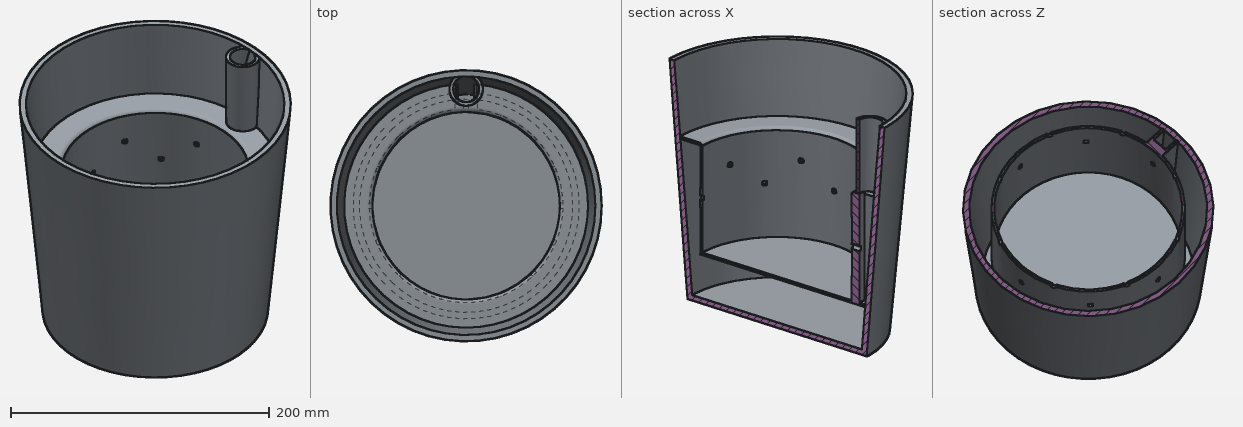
import cadquery as cq
import math

POT_HEIGHT = 200.0
POT_WALL = 5.0
POT_FLOOR = 5.0
POT_TOP_R = 105.0
POT_BOTTOM_R = 87.5
CAVITY_TOP_R = POT_TOP_R - POT_WALL
CAVITY_FLOOR_R = POT_BOTTOM_R - POT_WALL

LEDGE_TOP = 137.0
INSERT_FLOOR_TOP = 44.0
SHEET = 2.5
BASKET_INNER_R = 145.03 / 2
BASKET_OUTER_R = BASKET_INNER_R + SHEET
LEDGE_BOTTOM = LEDGE_TOP - SHEET
INSERT_BOTTOM = INSERT_FLOOR_TOP - SHEET

LIP_ARC_R = 5.0
LIP_DROP = 2.0
LIP_SWEEP = math.acos(1 - LIP_DROP / LIP_ARC_R)
LIP_OUTER_R = BASKET_INNER_R + LIP_ARC_R * math.sin(LIP_SWEEP)

HOLE_DIAMETER = 4.0
HOLES_PER_ROW = 8
HOLE_PITCH_ANGLE = 360.0 / HOLES_PER_ROW
LOWER_HOLE_ROW_Z = 90.0
UPPER_HOLE_ROW_Z = 110.0

TUBE_OUTER_R = 13.0
TUBE_WALL = 3.0
TUBE_INNER_R = TUBE_OUTER_R - TUBE_WALL
TUBE_Y = 90.3

CHUTE_WIDTH = 12.4
CHUTE_MOUTH_WIDTH = 15.7
CHUTE_FRONT_Y = TUBE_Y - TUBE_INNER_R


def cavity_radius(z):
    """Inner radius of the pot at height z."""
    rise = (z - POT_FLOOR) / (POT_HEIGHT - POT_FLOOR)
    return CAVITY_FLOOR_R + rise * (CAVITY_TOP_R - CAVITY_FLOOR_R)


def cone(bottom_z, bottom_r, top_z, top_r):
    """Solid frustum about the Z axis."""
    profile = [(0, bottom_z), (bottom_r, bottom_z), (top_r, top_z), (0, top_z)]
    return cq.Workplane("XZ").polyline(profile).close().revolve(360, (0, 0), (0, 1))


def cavity_between(bottom_z, top_z):
    """The part of the pot's inner space between two heights."""
    return cone(bottom_z, cavity_radius(bottom_z), top_z, cavity_radius(top_z))


def make_pot():
    outside = cone(0, POT_BOTTOM_R, POT_HEIGHT, POT_TOP_R)
    return outside.cut(cavity_between(POT_FLOOR, POT_HEIGHT))


def chute_space():
    """Chute channel from its front wall outward past the pot wall, flared where it meets the ledge top."""
    half = CHUTE_WIDTH / 2
    mouth_half = CHUTE_MOUTH_WIDTH / 2
    section = [
        (-half, INSERT_FLOOR_TOP),
        (half, INSERT_FLOOR_TOP),
        (half, LEDGE_BOTTOM),
        (mouth_half, LEDGE_TOP),
        (-mouth_half, LEDGE_TOP),
        (-half, LEDGE_BOTTOM),
    ]
    length = POT_TOP_R - CHUTE_FRONT_Y
    return (
        cq.Workplane("XZ", origin=(0, CHUTE_FRONT_Y, 0))
        .polyline(section)
        .close()
        .extrude(-length)
    )


def chute_shell():
    """Block that the chute channel is cut from, trimmed to the pot wall."""
    block = cq.Workplane("XY").box(
        CHUTE_WIDTH + 2 * SHEET,
        POT_TOP_R,
        LEDGE_TOP - INSERT_BOTTOM,
        centered=(True, False, False),
    )
    block = block.translate((0, 0, INSERT_BOTTOM))
    return block.intersect(cavity_between(INSERT_BOTTOM, LEDGE_TOP))


def basket_space():
    """Inside of the basket, opening into the lip arc at the top."""
    arc_center_z = LEDGE_TOP - LIP_ARC_R
    half_sweep = LIP_SWEEP / 2
    arc_mid = (
        LIP_OUTER_R - LIP_ARC_R * math.sin(half_sweep),
        arc_center_z + LIP_ARC_R * math.cos(half_sweep),
    )
    return (
        cq.Workplane("XZ")
        .moveTo(0, INSERT_FLOOR_TOP)
        .lineTo(BASKET_INNER_R, INSERT_FLOOR_TOP)
        .lineTo(BASKET_INNER_R, LEDGE_TOP - LIP_DROP)
        .threePointArc(arc_mid, (LIP_OUTER_R, LEDGE_TOP))
        .lineTo(0, LEDGE_TOP)
        .close()
        .revolve(360, (0, 0), (0, 1))
    )


def drain_holes(z, first_angle):
    """One row of radial pins that cut the drain holes, long enough to break into the chute."""
    pin = cq.Workplane("YZ", origin=(0, 0, z)).circle(HOLE_DIAMETER / 2).extrude(CHUTE_FRONT_Y)
    row = cq.Workplane("XY")
    for index in range(HOLES_PER_ROW):
        angle = first_angle + index * HOLE_PITCH_ANGLE
        row = row.union(pin.rotate((0, 0, 0), (0, 0, 1), angle))
    return row


def make_insert():
    ledge = cavity_between(LEDGE_BOTTOM, LEDGE_TOP)
    basket_height = LEDGE_TOP - INSERT_BOTTOM
    basket = cq.Workplane("XY", origin=(0, 0, INSERT_BOTTOM)).circle(BASKET_OUTER_R).extrude(basket_height)
    body = ledge.union(basket).union(chute_shell())
    body = body.cut(chute_space()).cut(basket_space())
    body = body.cut(drain_holes(LOWER_HOLE_ROW_Z, 0))
    return body.cut(drain_holes(UPPER_HOLE_ROW_Z, HOLE_PITCH_ANGLE / 2))


def make_tube():
    """Filling tube whose back is trimmed by the sloping pot wall."""
    ring = (
        cq.Workplane("XY", origin=(0, TUBE_Y, LEDGE_TOP))
        .circle(TUBE_OUTER_R)
        .circle(TUBE_INNER_R)
        .extrude(POT_HEIGHT - LEDGE_TOP)
    )
    return ring.intersect(cavity_between(LEDGE_TOP, POT_HEIGHT))


pot = make_pot()
insert = make_insert()
tube = make_tube()

result = cq.Compound.makeCompound([pot.solids().val(), insert.solids().val(), tube.solids().val()])